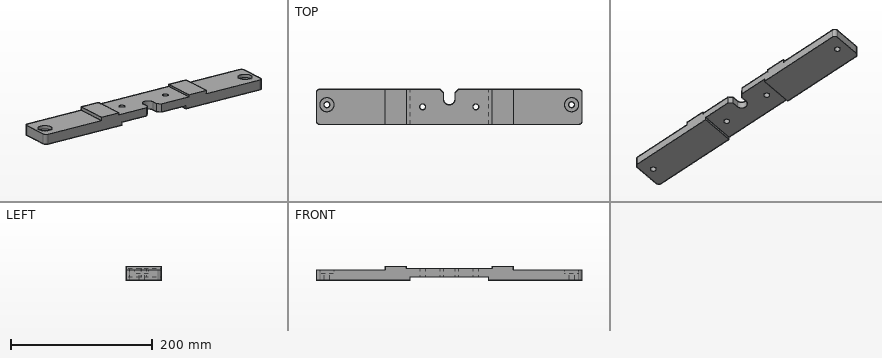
import cadquery as cq

LENGTH = 375.0
WIDTH = 50.0
END_HEIGHT = 15.0
CORNER_RADIUS = 5.0

PAD_TOP = 20.0
PAD_INNER_X = 60.5
PAD_LENGTH = 30.0
PAD_OUTER_X = PAD_INNER_X + PAD_LENGTH
MIDDLE_TOP = 17.0
RELIEF_HALF_LENGTH = 55.0
RELIEF_HEIGHT = 4.5

END_HOLE_INSET = 15.0
END_HOLE_X = LENGTH / 2 - END_HOLE_INSET
END_HOLE_Y = 3.0
END_HOLE_DIAMETER = 8.0
COUNTERBORE_DIAMETER = 20.0
COUNTERBORE_DEPTH = 5.0

MIDDLE_HOLE_SPACING = 75.0
MIDDLE_HOLE_DIAMETER = 8.0

SLOT_WIDTH = 16.0
SLOT_DEPTH = 22.0
MOUTH_CHAMFER = 5.0


def make_bar():
    """Extrude the stepped side profile across the width and round the end corners."""
    half_length = LENGTH / 2
    right_half = [
        (0, RELIEF_HEIGHT),
        (RELIEF_HALF_LENGTH, RELIEF_HEIGHT),
        (RELIEF_HALF_LENGTH, 0),
        (half_length, 0),
        (half_length, END_HEIGHT),
        (PAD_OUTER_X, END_HEIGHT),
        (PAD_OUTER_X, PAD_TOP),
        (PAD_INNER_X, PAD_TOP),
        (PAD_INNER_X, MIDDLE_TOP),
        (0, MIDDLE_TOP),
    ]
    profile = cq.Workplane("XZ").polyline(right_half).mirrorY()
    bar = profile.extrude(WIDTH / 2, both=True)
    end_corners = bar.faces("<X or >X").edges("|Z")
    return end_corners.fillet(CORNER_RADIUS)


def drill_end_holes(bar):
    """Cut the counterbored hole at each end, sunk from the end section's top face."""
    top_of_ends = cq.Workplane("XY").workplane(offset=END_HEIGHT)
    centres = [(-END_HOLE_X, END_HOLE_Y), (END_HOLE_X, END_HOLE_Y)]
    points = top_of_ends.pushPoints(centres)
    holes = points.circle(END_HOLE_DIAMETER / 2).extrude(-END_HEIGHT)
    counterbores = points.circle(COUNTERBORE_DIAMETER / 2).extrude(-COUNTERBORE_DEPTH)
    return bar.cut(holes).cut(counterbores)


def drill_middle_holes(bar):
    """Cut the two through holes on the bar's long centre line."""
    half_spacing = MIDDLE_HOLE_SPACING / 2
    points = cq.Workplane("XY").pushPoints([(-half_spacing, 0), (half_spacing, 0)])
    return bar.cut(points.circle(MIDDLE_HOLE_DIAMETER / 2).extrude(PAD_TOP))


def cut_slot(bar):
    """Cut the open slot with its round bottom and flared mouth."""
    edge_y = WIDTH / 2
    slot_radius = SLOT_WIDTH / 2
    bottom_y = edge_y - SLOT_DEPTH
    arc_centre_y = bottom_y + slot_radius
    mouth_start_y = edge_y - MOUTH_CHAMFER
    mouth_half_width = slot_radius + MOUTH_CHAMFER
    slot = (
        cq.Workplane("XY")
        .moveTo(-mouth_half_width, edge_y)
        .lineTo(-slot_radius, mouth_start_y)
        .lineTo(-slot_radius, arc_centre_y)
        .threePointArc((0, bottom_y), (slot_radius, arc_centre_y))
        .lineTo(slot_radius, mouth_start_y)
        .lineTo(mouth_half_width, edge_y)
        .close()
        .extrude(PAD_TOP)
    )
    return bar.cut(slot)


result = make_bar()
result = drill_end_holes(result)
result = drill_middle_holes(result)
result = cut_slot(result)